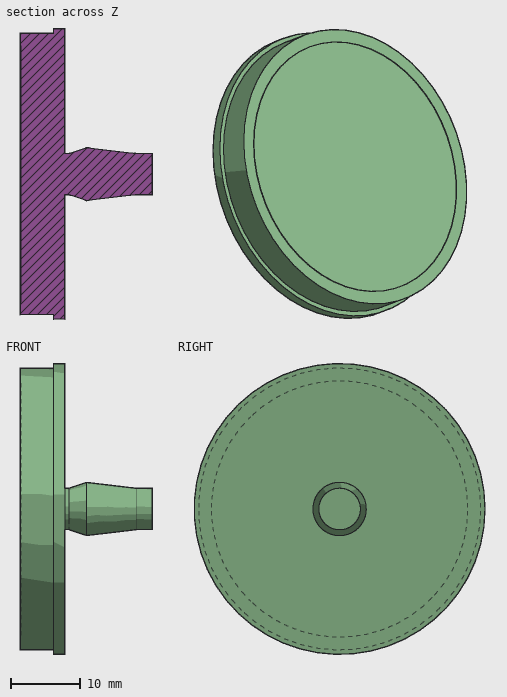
import cadquery as cq

BODY_DIAMETER = 40.7
BODY_LENGTH = 4.8
RIM_DIAMETER = 42.0
RIM_THICKNESS = 1.65

RECESS_DIAMETER = 37.0
RECESS_DEPTH = 0.1

STEM_DIAMETER = 6.0
BARB_DIAMETER = 7.7
NECK_LENGTH = 0.6
BARB_RISE_LENGTH = 2.55
BARB_TAPER_LENGTH = 7.2
TIP_LENGTH = 2.3

RIM_BACK = BODY_LENGTH + RIM_THICKNESS
BARB_START = RIM_BACK + NECK_LENGTH
BARB_PEAK = BARB_START + BARB_RISE_LENGTH
BARB_END = BARB_PEAK + BARB_TAPER_LENGTH
TIP_END = BARB_END + TIP_LENGTH


def make_disc():
    """Round body with a wider rim at its back."""
    body = cq.Workplane("YZ").circle(BODY_DIAMETER / 2).extrude(BODY_LENGTH)
    rim = cq.Workplane("YZ", origin=(BODY_LENGTH, 0, 0)).circle(RIM_DIAMETER / 2).extrude(RIM_THICKNESS)
    return body.union(rim)


def make_stem():
    """Solid stem with a double-tapered barb, revolved about the X axis."""
    stem_radius = STEM_DIAMETER / 2
    half_profile = (
        cq.Workplane("XZ")
        .moveTo(RIM_BACK, 0)
        .lineTo(RIM_BACK, stem_radius)
        .lineTo(BARB_START, stem_radius)
        .lineTo(BARB_PEAK, BARB_DIAMETER / 2)
        .lineTo(BARB_END, stem_radius)
        .lineTo(TIP_END, stem_radius)
        .lineTo(TIP_END, 0)
        .close()
    )
    return half_profile.revolve(360, (0, 0, 0), (1, 0, 0))


def make_recess():
    """Cutter for the shallow recess in the front face."""
    return cq.Workplane("YZ").circle(RECESS_DIAMETER / 2).extrude(RECESS_DEPTH)


result = make_disc().union(make_stem()).cut(make_recess())